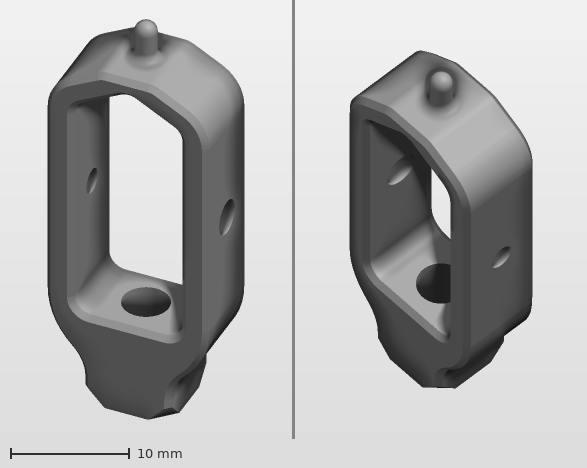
import cadquery as cq
import math

width = 15.0
depth = 8.0
height = 38.35
half_width = width / 2
half_depth = depth / 2
edge_chamfer = 0.5

shoulder_z = 34.75
shoulder_half = 2.4
roof_angle = math.radians(28)
shoulder_radius = 2.0
upper_radius = 4.0
belly_z = 10.62
neck_radius = 4.0
foot_half = half_depth

opening_half = 5.0
opening_floor_z = 9.0
opening_apex_z = 33.2
opening_radius = 1.5

pin_radius = 2.0 / 2
pin_fillet = 0.8
pin_root_depth = 0.4

cross_hole_z = 20.17
small_cross_diameter = 2.25
large_cross_diameter = 3.2
foot_hole_diameter = 4.2

bevel_height = 1.57
bevel_bottom_leg = 2.0


def make_body():
    """Closed outline in XZ with a rounded belly and neck, extruded along Y."""
    roof_drop = (half_width - shoulder_half) * math.tan(roof_angle)
    eave_z = shoulder_z - roof_drop

    neck_x = foot_half + neck_radius
    centre_distance = half_width + neck_radius
    neck_z = belly_z - math.sqrt(centre_distance**2 - neck_x**2)
    tangent_angle = math.atan2(belly_z - neck_z, neck_x)
    tangent_x = half_width * math.cos(tangent_angle)
    tangent_z = belly_z - half_width * math.sin(tangent_angle)

    half_angle = tangent_angle / 2
    belly_mid_x = half_width * math.cos(half_angle)
    belly_mid_z = belly_z - half_width * math.sin(half_angle)
    neck_mid_x = neck_x - neck_radius * math.cos(half_angle)
    neck_mid_z = neck_z + neck_radius * math.sin(half_angle)

    body = (
        cq.Workplane("XZ", origin=(0, half_depth, 0))
        .moveTo(-foot_half, 0)
        .lineTo(foot_half, 0)
        .lineTo(foot_half, neck_z)
        .threePointArc((neck_mid_x, neck_mid_z), (tangent_x, tangent_z))
        .threePointArc((belly_mid_x, belly_mid_z), (half_width, belly_z))
        .lineTo(half_width, eave_z)
        .lineTo(shoulder_half, shoulder_z)
        .lineTo(-shoulder_half, shoulder_z)
        .lineTo(-half_width, eave_z)
        .lineTo(-half_width, belly_z)
        .threePointArc((-belly_mid_x, belly_mid_z), (-tangent_x, tangent_z))
        .threePointArc((-neck_mid_x, neck_mid_z), (-foot_half, neck_z))
        .close()
        .extrude(depth)
    )
    body = body.faces(">Z").edges("|Y").fillet(shoulder_radius)
    eave_edges = cq.selectors.BoxSelector(
        (-width, -depth, eave_z - edge_chamfer), (width, depth, eave_z + edge_chamfer)
    )
    return body.edges("|Y").edges(eave_edges).fillet(upper_radius)


def make_opening():
    """House-shaped opening with all five corners rounded."""
    eave_z = opening_apex_z - opening_half * math.tan(roof_angle)
    return (
        cq.Workplane("XZ", origin=(0, half_depth, 0))
        .moveTo(-opening_half, opening_floor_z)
        .lineTo(opening_half, opening_floor_z)
        .lineTo(opening_half, eave_z)
        .lineTo(0, opening_apex_z)
        .lineTo(-opening_half, eave_z)
        .close()
        .extrude(depth)
        .edges("|Y")
        .fillet(opening_radius)
    )


def make_pin():
    """Domed pin with a concave flare where it meets the flat top."""
    dome_z = height - pin_radius
    flare_top_z = shoulder_z + pin_fillet
    flare_radius = pin_radius + pin_fillet
    diagonal = math.sqrt(0.5)
    root_z = shoulder_z - pin_root_depth
    return (
        cq.Workplane("XZ")
        .moveTo(0, root_z)
        .lineTo(pin_radius, root_z)
        .lineTo(pin_radius, shoulder_z)
        .lineTo(flare_radius, shoulder_z)
        .threePointArc(
            (flare_radius - pin_fillet * diagonal, flare_top_z - pin_fillet * diagonal),
            (pin_radius, flare_top_z),
        )
        .lineTo(pin_radius, dome_z)
        .threePointArc((pin_radius * diagonal, dome_z + pin_radius * diagonal), (0, height))
        .close()
        .revolve(360, (0, 0, 0), (0, 1, 0))
    )


def make_cross_hole(diameter, direction):
    """Hole from the Z axis out through one side wall (direction is -1 or 1)."""
    return (
        cq.Workplane("YZ")
        .center(0, cross_hole_z)
        .circle(diameter / 2)
        .extrude(direction * width)
    )


def make_corner_bevel(x_side, y_side):
    """Tetrahedron that trims one bottom corner of the foot."""
    corner_height = bevel_height * bevel_bottom_leg / (bevel_bottom_leg - edge_chamfer)
    corner = cq.Vector(x_side * foot_half, y_side * half_depth, 0)
    along_x = corner - cq.Vector(x_side * bevel_bottom_leg, 0, 0)
    along_y = corner - cq.Vector(0, y_side * bevel_bottom_leg, 0)
    along_z = corner + cq.Vector(0, 0, corner_height)
    triangles = [
        (corner, along_x, along_y),
        (corner, along_x, along_z),
        (corner, along_y, along_z),
        (along_x, along_y, along_z),
    ]
    faces = [
        cq.Face.makeFromWires(cq.Wire.makePolygon(triangle, close=True))
        for triangle in triangles
    ]
    return cq.Workplane(cq.Solid.makeSolid(cq.Shell.makeShell(faces)))


frame = make_body().cut(make_opening())
frame = frame.faces("|Y").edges("not <Z").chamfer(edge_chamfer)

frame = frame.cut(make_cross_hole(small_cross_diameter, -1))
frame = frame.cut(make_cross_hole(large_cross_diameter, 1))
frame = frame.cut(cq.Workplane("XY").circle(foot_hole_diameter / 2).extrude(opening_floor_z))

for x_side in (-1, 1):
    for y_side in (-1, 1):
        frame = frame.cut(make_corner_bevel(x_side, y_side))

result = frame.union(make_pin())